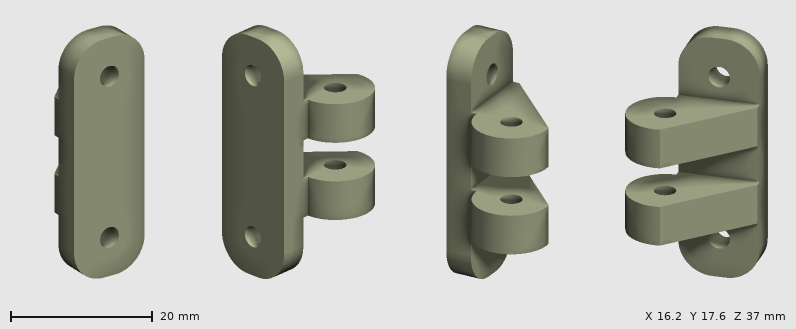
import cadquery as cq
import math

plate_height = 37.0
plate_width = 12.0
plate_thickness = 4.0
corner_radius = 5.0
hole_diameter = 3.2
screw_spacing = 25.0

lug_thickness = 6.0
lug_gap = 6.0
lug_radius = 5.62
neck_length = 0.95
slope_drop = 0.9

plate_edge_y = plate_width / 2
pin_x = -(neck_length + lug_radius)
pin_y = plate_edge_y


def make_plate():
    """Plate with rounded corners and two screw holes."""
    plate = (
        cq.Workplane("YZ")
        .rect(plate_width, plate_height)
        .extrude(plate_thickness)
        .edges("|X")
        .fillet(corner_radius)
    )
    holes = (
        cq.Workplane("YZ")
        .pushPoints([(0, -screw_spacing / 2), (0, screw_spacing / 2)])
        .circle(hole_diameter / 2)
        .extrude(plate_thickness)
    )
    return plate.cut(holes)


def make_lug(bottom_z):
    """Ear with a round end, a sloping underside and a pin hole."""
    slope_start_x = pin_x - math.sqrt(lug_radius**2 - slope_drop**2)
    slope_start_y = pin_y - slope_drop
    slope_run = slope_start_y + plate_edge_y
    inner_x = pin_x + lug_radius
    body = (
        cq.Workplane("XY", origin=(0, 0, bottom_z))
        .moveTo(0, -plate_edge_y)
        .lineTo(0, pin_y)
        .lineTo(inner_x, pin_y)
        .threePointArc((pin_x, pin_y + lug_radius), (slope_start_x, slope_start_y))
        .lineTo(slope_start_x + slope_run, -plate_edge_y)
        .close()
        .extrude(lug_thickness)
    )
    pin_hole = (
        cq.Workplane("XY", origin=(pin_x, pin_y, bottom_z))
        .circle(hole_diameter / 2)
        .extrude(lug_thickness)
    )
    return body.cut(pin_hole)


upper_lug = make_lug(lug_gap / 2)
lower_lug = make_lug(-lug_gap / 2 - lug_thickness)
result = make_plate().union(upper_lug).union(lower_lug)